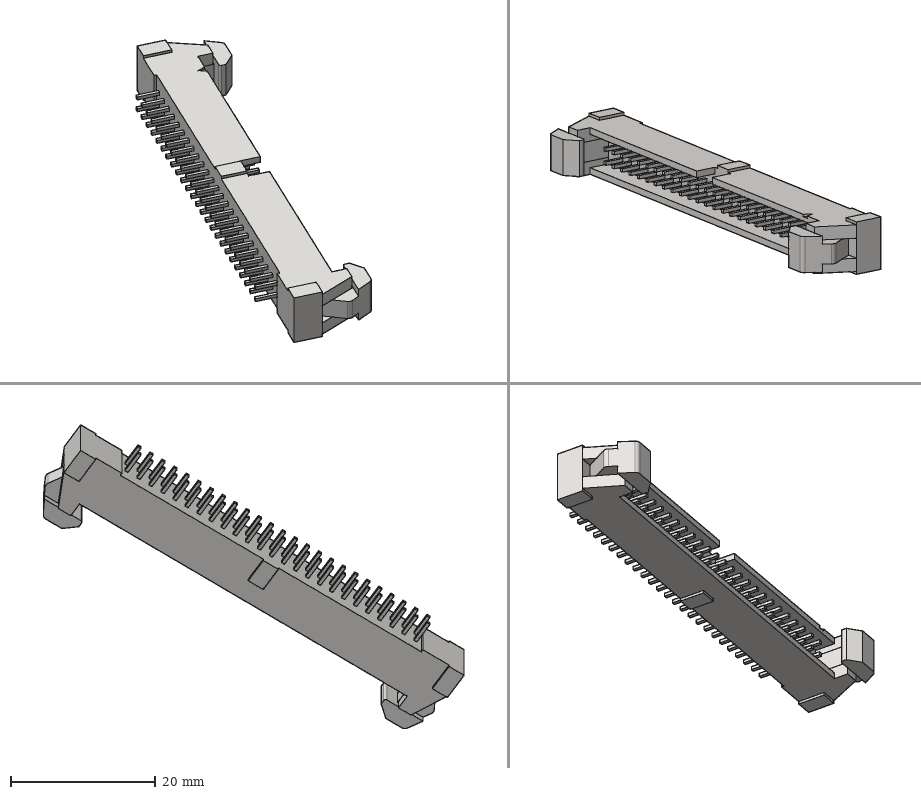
import cadquery as cq
import math


overall_length = 64.4

body_length = 63.7
body_width = 6.75
ear_width = 7.6
ear_length = 2.5
rib_length = 2.5
base_recess_length = 50.0
base_recess_depth = 0.4
floor_y = 4.2
rim_y = 7.3
arm_top_y = 9.45
arm_inner_x = 27.2
arm_top_outer_x = 29.3
wall = 0.95
key_slot_length = 3.75
mark_length = 0.95
mark_height = 1.15
mark_depth = 0.3

pins_per_row = 25
pin_row_span = 48.0
pin_pitch = pin_row_span / (pins_per_row - 1)
pin_side = 0.5
pin_tail = 2.9
pin_tip_gap = 0.2

latch_width = 5.2
tongue_width = 2.9
latch_top_y = 12.15
head_bottom_y = 9.65
apex_y = 8.2
flank_slope = 0.57
head_top_inner_x = 26.9
nose_x = 25.1
nose_top_y = 10.6
outer_radius = 0.8
nose_radius = 0.3

body_end_x = body_length / 2


def box(x_range, y_range, z_range):
    """Block between the given (low, high) limits."""
    lows, highs = zip(x_range, y_range, z_range)
    sizes = [high - low for low, high in zip(lows, highs)]
    return cq.Workplane("XY").box(*sizes, centered=False).translate(lows)


def centred(size):
    """Limits of a length centred on zero."""
    return (-size / 2, size / 2)


def prism(points, width):
    """Outline in XY extruded symmetrically about Z = 0."""
    return cq.Workplane("XY").polyline(points).close().extrude(width / 2, both=True)


def make_shell():
    """Body outline with its latch arms, ears and centre ribs, still solid inside."""
    recess_end_x = base_recess_length / 2
    right_half = [
        (recess_end_x, base_recess_depth),
        (recess_end_x, 0),
        (body_end_x, 0),
        (body_end_x, floor_y),
        (arm_top_outer_x, arm_top_y),
        (arm_inner_x, arm_top_y),
        (arm_inner_x, rim_y),
    ]
    left_half = [(-x, y) for x, y in reversed(right_half)]
    shell = prism(right_half + left_half, body_width)

    ear_x = (body_end_x - ear_length, body_end_x)
    ear = box(ear_x, (0, floor_y), centred(ear_width))
    rib = box(centred(rib_length), (base_recess_depth, floor_y), centred(ear_width))
    return shell.union(ear).union(ear.mirror("YZ")).union(rib)


def make_socket():
    """Cavity for the mating plug, with the latch slots through both ends."""
    cavity = box(centred(2 * arm_inner_x), (floor_y, rim_y), centred(body_width - 2 * wall))
    latch_slots = box(centred(body_length), (floor_y, arm_top_y), centred(tongue_width))
    return cavity.union(latch_slots)


def make_key_slot():
    """Polarising slot through the +Z wall."""
    return box(centred(key_slot_length), (floor_y, rim_y), (0, body_width / 2))


def make_pin_one_mark():
    """Engraved triangle on the +Z face beside the first pin."""
    pin_one_x = -pin_row_span / 2
    outline = [
        (pin_one_x - mark_length / 2, rim_y),
        (pin_one_x + mark_length / 2, rim_y),
        (pin_one_x, rim_y - mark_height),
    ]
    face = cq.Workplane("XY").workplane(offset=body_width / 2)
    return face.polyline(outline).close().extrude(-mark_depth)


def make_pins():
    """Both rows of square pins, one pitch apart."""
    pin_y = (-pin_tail, rim_y - pin_tip_gap)
    pin = box(centred(pin_side), pin_y, centred(pin_side)).val()
    return [
        pin.translate(cq.Vector(column * pin_pitch - pin_row_span / 2, 0, row_z))
        for column in range(pins_per_row)
        for row_z in centred(pin_pitch)
    ]


def make_housing():
    housing = make_shell().cut(make_socket()).cut(make_key_slot()).cut(make_pin_one_mark())
    return cq.Workplane(housing.val().fuse(*make_pins())).solids()


flank_angle = math.atan(flank_slope)
apex_x = overall_length / 2 + outer_radius * (1 / math.cos(flank_angle) - 1)


def flank_x(y):
    """X of the sharp outer flanks at height y."""
    return apex_x - flank_slope * abs(y - apex_y)


def round_edge(solid, x, y, radius):
    """Fillet the edge parallel to Z that passes through (x, y)."""
    return solid.edges(cq.selectors.NearestToPointSelector((x, y, 0))).fillet(radius)


def make_latch(side):
    """Latch at the +X (side = 1) or -X (side = -1) end: wide hooked head on a narrow tongue."""
    head_top_outer_x = flank_x(latch_top_y)
    head = prism(
        [
            (nose_x, head_bottom_y),
            (flank_x(head_bottom_y), head_bottom_y),
            (head_top_outer_x, latch_top_y),
            (head_top_inner_x, latch_top_y),
            (nose_x, nose_top_y),
        ],
        latch_width,
    )
    head = round_edge(head, head_top_outer_x, latch_top_y, outer_radius)
    head = round_edge(head, nose_x, head_bottom_y, nose_radius)

    tongue = prism(
        [
            (arm_inner_x, floor_y),
            (flank_x(floor_y), floor_y),
            (apex_x, apex_y),
            (flank_x(head_bottom_y), head_bottom_y),
            (arm_inner_x, head_bottom_y),
        ],
        tongue_width,
    )
    tongue = round_edge(tongue, apex_x, apex_y, outer_radius)
    latch = head.union(tongue)
    if side < 0:
        latch = latch.mirror("YZ")
    return latch.solids()


housing = make_housing()
latches = [make_latch(side) for side in (-1, 1)]

result = cq.Compound.makeCompound([housing.val(), *[latch.val() for latch in latches]])